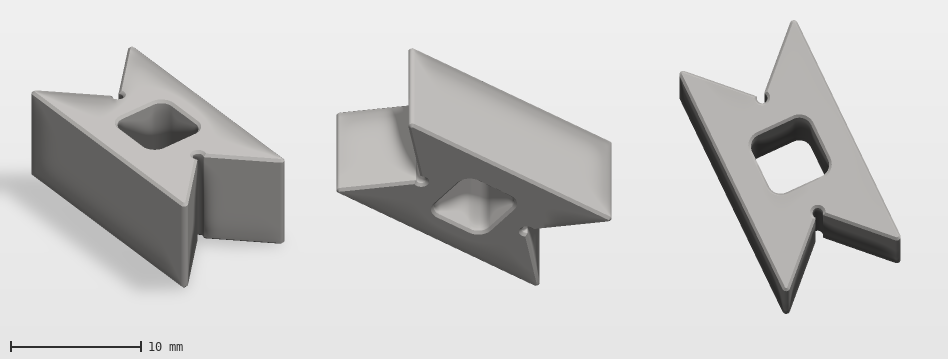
import cadquery as cq
import math

length = 19.15
width = 10.0
height = 8.0
chamfer = 0.21
tip_radius = 0.3
relief_radius = 0.4
root_edge_radius = 0.1
window_side = 5.0
window_radius = 1.0

tip_center_x = length / 2 - tip_radius
tip_center_y = width / 2 - tip_radius
root_x = tip_center_x - tip_center_y + math.sqrt(2) * tip_radius
sharp_tip_x = root_x + width / 2


def bow_tie_body():
    """Block with a 90 degree V notch in each end and rounded tips."""
    outline = [
        (-sharp_tip_x, -width / 2),
        (sharp_tip_x, -width / 2),
        (root_x, 0),
        (sharp_tip_x, width / 2),
        (-sharp_tip_x, width / 2),
        (-root_x, 0),
    ]
    body = cq.Workplane("XY").polyline(outline).close().extrude(height)
    tips = body.edges("|Z").edges("<Y or >Y")
    return tips.fillet(tip_radius)


def root_reliefs():
    """Round through holes centred on the two notch roots."""
    centers = [(-root_x, 0), (root_x, 0)]
    return cq.Workplane("XY").pushPoints(centers).circle(relief_radius).extrude(height)


def window():
    """Square through opening with rounded corners."""
    opening = cq.Workplane("XY").rect(window_side, window_side).extrude(height)
    return opening.edges("|Z").fillet(window_radius)


def root_edges(part):
    """The four upright edges where the flanks meet the reliefs."""
    edge_x = root_x + relief_radius / math.sqrt(2)
    edge_y = relief_radius / math.sqrt(2)
    margin = 0.02
    corner = cq.Vector(edge_x + margin, edge_y + margin, height)
    inner = cq.Vector(edge_x - margin, -edge_y - margin, 0)
    right = cq.selectors.BoxSelector(inner.toTuple(), corner.toTuple())
    left = cq.selectors.BoxSelector((-inner.x, inner.y, 0), (-corner.x, corner.y, height))
    return part.edges("|Z").edges(right + left)


body = bow_tie_body().cut(root_reliefs()).cut(window())
chamfered = body.faces("<Z or >Z").edges().chamfer(chamfer)
result = root_edges(chamfered).fillet(root_edge_radius)